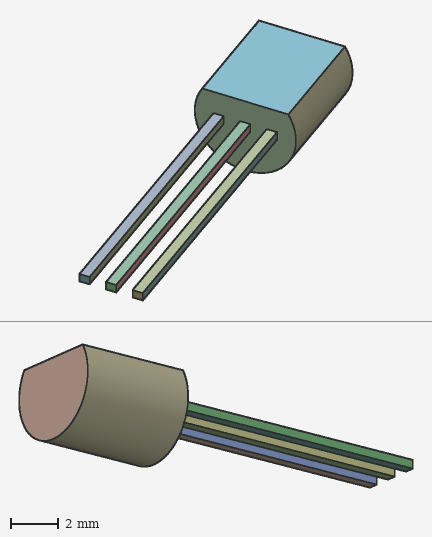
import cadquery as cq

total_length = 18.03
housing_length = 5.35
housing_radius = 2.407
housing_height = 3.68
flat_z = housing_height - housing_radius

lead_count = 3
lead_pitch = 1.26
lead_width = 0.49
lead_thickness = 0.4
lead_center_z = -0.05
lead_length = total_length - housing_length


def make_housing():
    """Round housing cut off at the flat, with its front face at Y = 0."""
    half_flat = (housing_radius**2 - flat_z**2) ** 0.5
    return (
        cq.Workplane("XZ")
        .moveTo(-half_flat, flat_z)
        .threePointArc((0, -housing_radius), (half_flat, flat_z))
        .close()
        .extrude(-housing_length)
    )


def make_lead(x):
    """Straight lead from the front face of the housing toward -Y."""
    return (
        cq.Workplane("XZ")
        .center(x, lead_center_z)
        .rect(lead_width, lead_thickness)
        .extrude(lead_length)
    )


housing = make_housing()

leads = []
for index in range(lead_count):
    lead_x = (index - (lead_count - 1) / 2) * lead_pitch
    leads.append(make_lead(lead_x))

result = cq.Compound.makeCompound([housing.val(), *[lead.val() for lead in leads]])